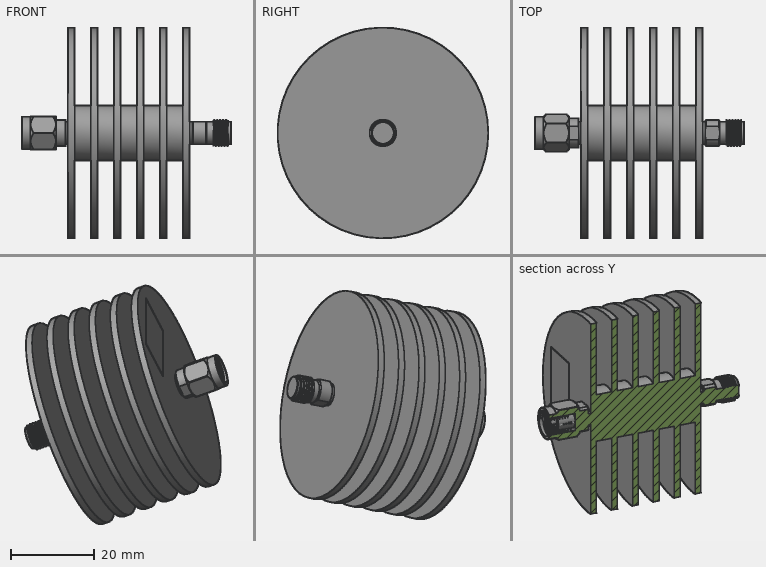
import cadquery as cq
import math


fin_diameter = 50.8
fin_thickness = 1.65
fin_pitch = 5.55
fin_count = 6
core_diameter = 13.3
heat_sink_length = (fin_count - 1) * fin_pitch + fin_thickness

label_width = 10.4
label_height = 19.15
label_thickness = 0.1
label_center_y = 15.25

neck_diameter = 5.5
edge_chamfer = 0.15
thread_pitch = 0.7
thread_root_width = 0.6
thread_crest_width = 0.05
thread_root_overlap = 0.05

male_neck_length = 0.5
rear_collar_length = 2.35
rear_collar_diameter = 7.15
rear_collar_flats = 6.35
nut_length = 6.2
nut_across_flats = 8.0
nut_corner_diameter = 9.1
nut_end_diameter = 7.8
nut_cone_length = 0.7
sleeve_length = 2.15
sleeve_diameter = 7.85
rear_collar_end_x = -male_neck_length
nut_back_x = rear_collar_end_x - rear_collar_length
nut_front_x = nut_back_x - nut_length
male_tip_x = nut_front_x - sleeve_length

bore_diameter = 6.3
bore_depth = 7.1
socket_thread_depth = 0.4
socket_thread_inset = 0.6
socket_thread_turns = 7
contact_ring_outer_diameter = 4.5
contact_ring_inner_diameter = 3.35
contact_ring_recess = 2.55
insulator_recess = 3.05
pin_diameter = 1.3
pin_recess = 1.65
pin_tip_radius = 0.4

female_length = 10.05
front_collar_start = 0.55
front_collar_length = 3.55
front_collar_diameter = 6.35
front_collar_flats = neck_diameter
front_collar_cone_length = 0.25
plug_thread_depth = 0.45
plug_thread_start = 5.65
plug_thread_length = 3.65
plug_thread_lead_in = 0.6
plug_thread_turns = 6.5


def rod(start_x, length, diameter):
    """Round bar along X."""
    return cq.Workplane("YZ", origin=(start_x, 0, 0)).circle(diameter / 2).extrude(length)


def coned_rod(start_x, length, diameter, end_diameter, cone_length):
    """Round bar along X that narrows to the end diameter over a short cone at each end."""
    return (
        cq.Workplane("XY", origin=(start_x, 0, 0))
        .lineTo(0, end_diameter / 2)
        .lineTo(cone_length, diameter / 2)
        .lineTo(length - cone_length, diameter / 2)
        .lineTo(length, end_diameter / 2)
        .lineTo(length, 0)
        .close()
        .revolve(360, (0, 0, 0), (1, 0, 0))
    )


def thread_ridge(start_x, turns, root_radius, crest_radius):
    """Right-hand helical ridge about X that starts on the +Y side and grows from root to crest."""
    outward = math.copysign(1, crest_radius - root_radius)
    buried_radius = root_radius - outward * thread_root_overlap
    section = (
        cq.Workplane("XZ")
        .moveTo(buried_radius, -thread_root_width / 2)
        .lineTo(crest_radius, -thread_crest_width / 2)
        .lineTo(crest_radius, thread_crest_width / 2)
        .lineTo(buried_radius, thread_root_width / 2)
        .close()
    )
    helix = cq.Wire.makeHelix(thread_pitch, turns * thread_pitch, root_radius)
    ridge = section.sweep(cq.Workplane(helix), isFrenet=True)
    along_x = ridge.rotate((0, 0, 0), (0, 1, 0), 90).rotate((0, 0, 0), (1, 0, 0), 90)
    return along_x.translate((start_x, 0, 0))


def flats_envelope(start_x, length, width, across_flats):
    """Block that trims a round collar to flats facing +Z and -Z."""
    return cq.Workplane("XY").box(length, width, across_flats).translate((start_x + length / 2, 0, 0))


def make_heat_sink():
    heat_sink = rod(0, heat_sink_length, core_diameter)
    for i in range(fin_count):
        heat_sink = heat_sink.union(rod(i * fin_pitch, fin_thickness, fin_diameter))
    return heat_sink


def make_nut():
    """Hexagonal nut with its corners at +Y and -Y, blunted by a turned profile that is coned at both ends."""
    across_corners = nut_across_flats / math.cos(math.pi / 6)
    hexagon = (
        cq.Workplane("YZ", origin=(nut_front_x, 0, 0)).polygon(6, across_corners).extrude(nut_length)
    )
    turned = coned_rod(nut_front_x, nut_length, nut_corner_diameter, nut_end_diameter, nut_cone_length)
    return hexagon.intersect(turned)


def make_socket_contacts():
    """Contact ring, recessed insulator and round-tipped pin standing on the socket floor."""
    ring_x = male_tip_x + contact_ring_recess
    ring = rod(ring_x, bore_depth - contact_ring_recess, contact_ring_outer_diameter)
    ring = ring.faces("<X").chamfer(edge_chamfer)
    insulator_pocket = rod(ring_x, insulator_recess - contact_ring_recess, contact_ring_inner_diameter)
    pin = rod(male_tip_x + pin_recess, bore_depth - pin_recess, pin_diameter)
    pin = pin.faces("<X").fillet(pin_tip_radius)
    return ring.cut(insulator_pocket).union(pin)


def make_male_connector():
    neck = rod(rear_collar_end_x, male_neck_length, neck_diameter)
    flats = flats_envelope(nut_back_x, rear_collar_length, rear_collar_diameter, rear_collar_flats)
    collar = rod(nut_back_x, rear_collar_length, rear_collar_diameter)
    collar = collar.faces(">X").chamfer(edge_chamfer).intersect(flats)
    sleeve = rod(male_tip_x, sleeve_length, sleeve_diameter).faces("<X").chamfer(edge_chamfer)
    shell = neck.union(collar).union(make_nut()).union(sleeve)
    shell = shell.cut(rod(male_tip_x, bore_depth, bore_diameter))
    bore_radius = bore_diameter / 2
    ridge = thread_ridge(
        male_tip_x + socket_thread_inset, socket_thread_turns, bore_radius, bore_radius - socket_thread_depth
    )
    return shell.union(ridge).union(make_socket_contacts())


def make_female_connector():
    stem = rod(heat_sink_length, female_length, neck_diameter).faces(">X").chamfer(edge_chamfer)
    collar_x = heat_sink_length + front_collar_start
    flats = flats_envelope(collar_x, front_collar_length, front_collar_diameter, front_collar_flats)
    collar = coned_rod(
        collar_x, front_collar_length, front_collar_diameter, neck_diameter, front_collar_cone_length
    ).intersect(flats)
    thread_x = heat_sink_length + plug_thread_start
    stem_radius = neck_diameter / 2
    ridge = thread_ridge(
        thread_x - plug_thread_lead_in, plug_thread_turns, stem_radius, stem_radius + plug_thread_depth
    ).intersect(rod(thread_x, plug_thread_length, front_collar_diameter + plug_thread_depth))
    return stem.union(collar).union(ridge)


def make_label():
    label = cq.Workplane("XY").box(label_thickness, label_width, label_height)
    return label.translate((-label_thickness / 2, label_center_y, 0))


attenuator = make_heat_sink().union(make_male_connector()).union(make_female_connector())
label = make_label()

result = cq.Compound.makeCompound([attenuator.val(), label.val()])